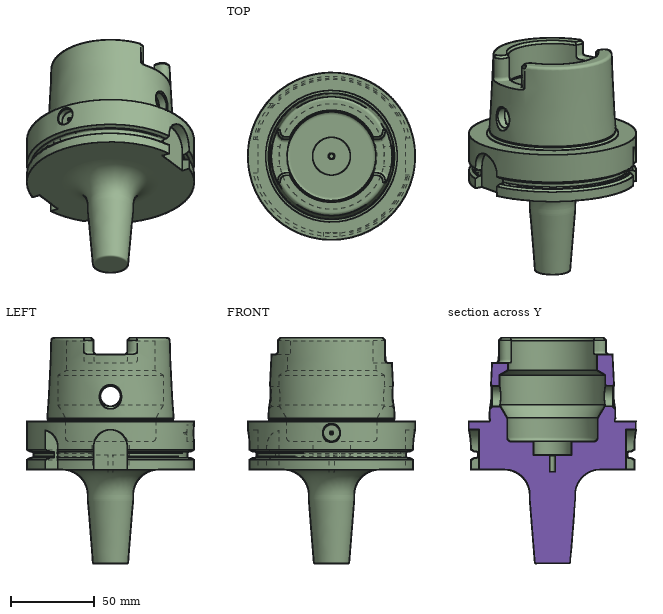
import cadquery as cq
import math

shank_height = 49.9
nose_length = 85.0

flange_radius = 50.0
flange_thickness = 28.9
groove_center_z = -19.95
groove_floor_radius = 46.0
groove_mouth_width = 6.1
groove_inner_width = 3.66
groove_flank_angle = 30.0
groove_corner_radius = 0.8

taper_base_radius = 37.75
taper_base_z = 2.75
taper_slope = 1 / 20
rim_fillet = 2.0
relief_neck_radius = 37.3
relief_fillet = 1.2
relief_neck_z = 1.0
relief_collar_z = 1.9
relief_outer_radius = 39.3

bore_radius = 26.5
bore_chamfer_width = 1.0
bore_chamfer_angle = 60.0
bore_end_z = 30.5
cavity_radius = 31.5
clamp_angle = 30.0
cavity_wall_end_z = 9.8
cavity_cone_angle = 60.0
well_radius = 27.0
well_floor_z = -12.0
well_fillet = 2.4

tube_bore_radius = 11.3
tube_bore_depth = 8.0
center_hole_radius = 1.5
center_hole_chamfer = 0.4
center_hole_depth = 10.0

slot_half_width = 10.0
slot_flare_radius = 4.6
slot_flare_x = 32.0
slot_flare_end_angle = 17.0
left_slot_depth = 10.0
right_slot_depth = 15.0
slot_floor_fillet = 2.0
slot_chamfer = 1.5

access_hole_z = 15.0
access_hole_radius = 6.0
access_sink_radius = 7.2

left_keyway_radius = 10.0
right_keyway_radius = 11.0
keyway_top_z = -5.0
keyway_floor_x = 44.0
notch_offset = 31.5

chip_hole_z = -6.9
chip_hole_radius = 5.0
chip_hole_depth = 4.5
chip_sink_radius = 5.55
chip_center_hole_radius = 0.4
chip_center_hole_depth = 2.0

nose_radius = 13.65
throat_radius = 15.0
nose_cone_angle = 4.6
nose_cylinder_length = 2.5
nose_blend_radius = 15.0
nose_end_fillet = 1.0


def shank_radius(z):
    return taper_base_radius - (z - taper_base_z) * taper_slope


def arc_point(center_r, center_z, radius, degrees):
    angle = math.radians(degrees)
    return (center_r + radius * math.cos(angle), center_z + radius * math.sin(angle))


def body():
    throat_end_z = -flange_thickness - throat_radius
    cylinder_end_z = throat_end_z - nose_cylinder_length
    throat_center_r = nose_radius + throat_radius
    blend_center_r = nose_radius - nose_blend_radius
    cone_start = arc_point(blend_center_r, cylinder_end_z, nose_blend_radius, -nose_cone_angle)
    cone_height = cone_start[1] + nose_length
    nose_end_radius = cone_start[0] - cone_height * math.tan(math.radians(nose_cone_angle))
    groove_top_z = groove_center_z + groove_mouth_width / 2
    groove_bottom_z = groove_center_z - groove_mouth_width / 2
    inner_top_z = groove_center_z + groove_inner_width / 2
    inner_bottom_z = groove_center_z - groove_inner_width / 2
    flank_height = (groove_mouth_width - groove_inner_width) / 2
    flank_end_radius = flange_radius - flank_height / math.tan(math.radians(groove_flank_angle))
    corner_r = groove_floor_radius + groove_corner_radius
    corner_top_z = inner_top_z - groove_corner_radius
    corner_bottom_z = inner_bottom_z + groove_corner_radius
    relief_foot_radius = relief_neck_radius + relief_fillet
    relief_floor_z = relief_neck_z - relief_fillet
    profile = (
        cq.Workplane("XZ")
        .moveTo(0, shank_height)
        .lineTo(shank_radius(shank_height), shank_height)
        .lineTo(taper_base_radius, taper_base_z)
        .lineTo(taper_base_radius, relief_collar_z)
        .lineTo(relief_neck_radius, relief_neck_z)
        .threePointArc(
            arc_point(relief_foot_radius, relief_neck_z, relief_fillet, 225),
            (relief_foot_radius, relief_floor_z),
        )
        .lineTo(relief_outer_radius, relief_floor_z)
        .lineTo(relief_outer_radius, 0)
        .lineTo(flange_radius, 0)
        .lineTo(flange_radius, groove_top_z)
        .lineTo(flank_end_radius, inner_top_z)
        .lineTo(corner_r, inner_top_z)
        .threePointArc(
            arc_point(corner_r, corner_top_z, groove_corner_radius, 135),
            (groove_floor_radius, corner_top_z),
        )
        .lineTo(groove_floor_radius, corner_bottom_z)
        .threePointArc(
            arc_point(corner_r, corner_bottom_z, groove_corner_radius, 225),
            (corner_r, inner_bottom_z),
        )
        .lineTo(flank_end_radius, inner_bottom_z)
        .lineTo(flange_radius, groove_bottom_z)
        .lineTo(flange_radius, -flange_thickness)
        .lineTo(throat_center_r, -flange_thickness)
        .threePointArc(
            arc_point(throat_center_r, throat_end_z, throat_radius, 135),
            (nose_radius, throat_end_z),
        )
        .lineTo(nose_radius, cylinder_end_z)
        .threePointArc(
            arc_point(blend_center_r, cylinder_end_z, nose_blend_radius, -nose_cone_angle / 2),
            cone_start,
        )
        .lineTo(nose_end_radius, -nose_length)
        .lineTo(0, -nose_length)
        .close()
    )
    solid = profile.revolve(360, (0, 0, 0), (0, 1, 0))
    solid = solid.faces(">Z").edges().fillet(rim_fillet)
    return solid.faces("<Z").edges().fillet(nose_end_fillet)


def cavity():
    chamfer_height = bore_chamfer_width * math.tan(math.radians(bore_chamfer_angle))
    clamp_height = (cavity_radius - bore_radius) * math.tan(math.radians(clamp_angle))
    cone_height = (cavity_radius - well_radius) * math.tan(math.radians(cavity_cone_angle))
    well_fillet_r = well_radius - well_fillet
    well_fillet_z = well_floor_z + well_fillet
    tube_floor_z = well_floor_z - tube_bore_depth
    center_hole_end_z = tube_floor_z - center_hole_depth
    profile = (
        cq.Workplane("XZ")
        .moveTo(0, shank_height)
        .lineTo(bore_radius + bore_chamfer_width, shank_height)
        .lineTo(bore_radius, shank_height - chamfer_height)
        .lineTo(bore_radius, bore_end_z)
        .lineTo(cavity_radius, bore_end_z - clamp_height)
        .lineTo(cavity_radius, cavity_wall_end_z)
        .lineTo(well_radius, cavity_wall_end_z - cone_height)
        .lineTo(well_radius, well_fillet_z)
        .threePointArc(
            arc_point(well_fillet_r, well_fillet_z, well_fillet, -45),
            (well_fillet_r, well_floor_z),
        )
        .lineTo(tube_bore_radius, well_floor_z)
        .lineTo(tube_bore_radius, tube_floor_z)
        .lineTo(center_hole_radius + center_hole_chamfer, tube_floor_z)
        .lineTo(center_hole_radius, tube_floor_z - center_hole_chamfer)
        .lineTo(center_hole_radius, center_hole_end_z)
        .lineTo(0, center_hole_end_z)
        .close()
    )
    return profile.revolve(360, (0, 0, 0), (0, 1, 0))


def slot_outline(side, z, offset):
    """Slot outline at height z, flaring round the rim corners, its walls moved outward by offset."""
    half_width = slot_half_width + offset
    flare_radius = slot_flare_radius - offset
    center_x = slot_flare_x - slot_flare_radius
    center_y = slot_half_width + slot_flare_radius
    middle_x, middle_y = arc_point(center_x, center_y, flare_radius, (slot_flare_end_angle - 90) / 2)
    end_x, end_y = arc_point(center_x, center_y, flare_radius, slot_flare_end_angle)
    return (
        cq.Workplane("XY", origin=(0, 0, z))
        .moveTo(0, -half_width)
        .lineTo(side * center_x, -half_width)
        .threePointArc((side * middle_x, -middle_y), (side * end_x, -end_y))
        .lineTo(side * flange_radius, -end_y)
        .lineTo(side * flange_radius, end_y)
        .lineTo(side * end_x, end_y)
        .threePointArc((side * middle_x, middle_y), (side * center_x, half_width))
        .lineTo(0, half_width)
        .close()
    )


def drive_slot(side, depth):
    floor_z = shank_height - depth
    slot = slot_outline(side, floor_z, 0).extrude(depth)
    slot = slot.faces("<Z").edges("not(<X or >X)").fillet(slot_floor_fillet)
    chamfer_z = shank_height - slot_chamfer
    top = slot_outline(side, shank_height, slot_chamfer).wires().val()
    bottom = slot_outline(side, chamfer_z, 0).wires().val()
    return slot.union(cq.Workplane(cq.Solid.makeLoft([bottom, top], True)))


def cut_access_hole(solid):
    hole = (
        cq.Workplane("YZ", origin=(-flange_radius, 0, access_hole_z))
        .circle(access_hole_radius)
        .extrude(2 * flange_radius)
    )
    solid = solid.cut(hole)
    mouth_x = shank_radius(access_hole_z)
    for side in (-1, 1):
        solid = solid.cut(countersink(access_sink_radius, mouth_x, access_hole_z, (side, 0, 0)))
    return solid


def countersink(radius, distance, z, direction):
    """90 degree cone that has the given radius at the given distance from the part axis."""
    outside = 2.0
    start = cq.Vector(*direction) * (distance + outside) + cq.Vector(0, 0, z)
    cone = cq.Solid.makeCone(
        radius + outside, 0, radius + outside, start, cq.Vector(*direction) * -1
    )
    return cq.Workplane(cone)


def keyway_cutter(floor_x, center_y, radius):
    """Round-topped cutter on the -X side, open at the lower flange face."""
    length = 2 * flange_radius
    center_z = keyway_top_z - radius
    height = center_z + flange_thickness
    plane = cq.Workplane("YZ", origin=(-floor_x, center_y, center_z))
    round_top = plane.circle(radius).extrude(-length)
    leg = plane.center(0, -height / 2).rect(2 * radius, height).extrude(-length)
    return round_top.union(leg)


def chip_hole():
    plane = cq.Workplane("XZ", origin=(0, -flange_radius, chip_hole_z))
    hole = plane.circle(chip_hole_radius).extrude(-chip_hole_depth)
    small = plane.circle(chip_center_hole_radius).extrude(-chip_hole_depth - chip_center_hole_depth)
    sink = countersink(chip_sink_radius, flange_radius, chip_hole_z, (0, -1, 0))
    return hole.union(small).union(sink)


left_keyway = keyway_cutter(keyway_floor_x, 0, left_keyway_radius)
right_keyway = keyway_cutter(keyway_floor_x, 0, right_keyway_radius).mirror("YZ")
notch = keyway_cutter(notch_offset, notch_offset + left_keyway_radius, left_keyway_radius)

result = body().cut(cavity())
result = result.cut(drive_slot(-1, left_slot_depth)).cut(drive_slot(1, right_slot_depth))
result = cut_access_hole(result)
result = result.cut(left_keyway).cut(right_keyway).cut(notch).cut(chip_hole())